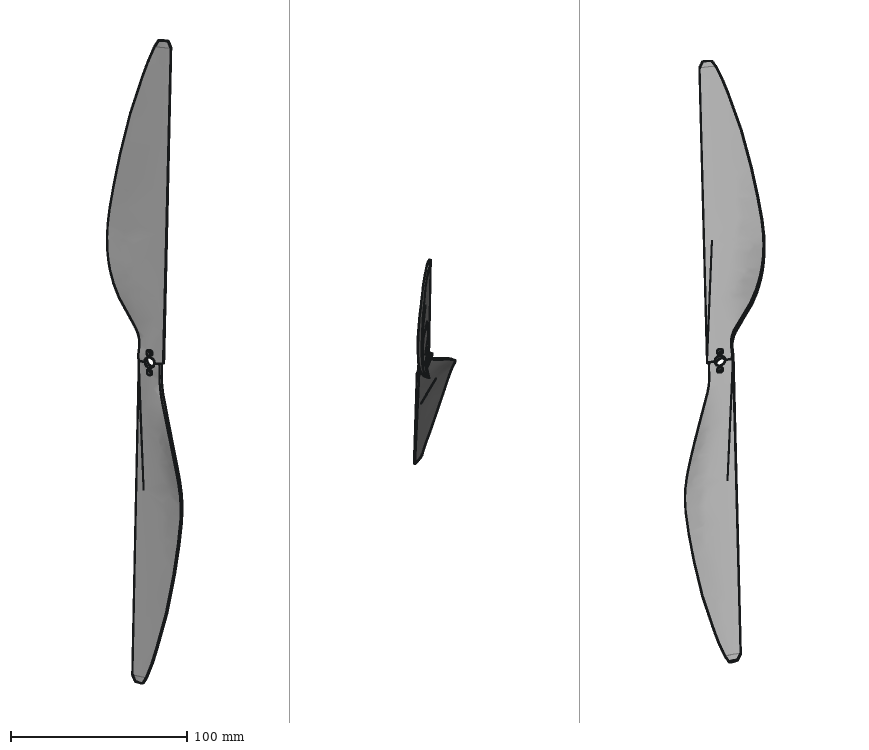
import cadquery as cq

half_span = 193.0
overall_width = 46.7
tip_start = 189.0

trailing_x_hub = 7.7
trailing_x_tip = 12.5
trailing_y = -0.5
trailing_thinning = 0.5

hub_thickness = 3.0
tip_thickness = 1.5
camber_ratio = 0.4
mid_thickening = 1.1

tip_leading_inset = 2.5
tip_trailing_inset = 2.0

shaft_hole_diameter = 6.0
pin_hole_diameter = 3.5
pin_hole_offset = 5.8

tip_station = (tip_start, 2.7, -2.7)
blade_stations = [
    (0.0, -6.5, -4.0),
    (7.7, -6.5, -4.0),
    (15.0, -7.0, -4.0),
    (27.0, -11.2, -7.5),
    (38.5, -16.0, -11.0),
    (56.0, -21.0, -12.7),
    (77.2, -overall_width / 2, -11.0),
    (102.5, -21.0, -8.5),
    (125.5, -16.5, -7.0),
    (148.5, -11.2, -5.5),
    (172.0, -4.0, -4.0),
    tip_station,
]


def along_span(hub_value, tip_value, z):
    """Linear change from the hub centre to the blade end."""
    return hub_value + (tip_value - hub_value) * z / half_span


def blade_section(z, leading_x, leading_y, trailing_inset=0.0):
    """Cambered section at height z, bounded by two arcs and two blunt edges."""
    thickness = along_span(hub_thickness, tip_thickness, z)
    trailing_x = along_span(trailing_x_hub, trailing_x_tip, z) - trailing_inset
    leading_top = leading_y + thickness
    trailing_bottom = trailing_y - trailing_thinning * thickness
    mid_x = (leading_x + trailing_x) / 2
    camber = camber_ratio * (trailing_y - leading_top)
    mid_top = (leading_top + trailing_y) / 2 + camber
    mid_bottom = mid_top - mid_thickening * thickness
    outline = (
        cq.Workplane("XY", origin=(0, 0, z))
        .moveTo(leading_x, leading_top)
        .threePointArc((mid_x, mid_top), (trailing_x, trailing_y))
        .lineTo(trailing_x, trailing_bottom)
        .threePointArc((mid_x, mid_bottom), (leading_x, leading_y))
        .close()
    )
    return outline.val()


def loft(sections, ruled=False):
    return cq.Workplane(cq.Solid.makeLoft(sections, ruled))


def upper_blade():
    """Swept blade from the hub centre and narrowed tip."""
    tip_leading_x, tip_leading_y = tip_station[1:]
    tip_section = blade_section(*tip_station)
    end_section = blade_section(
        half_span, tip_leading_x + tip_leading_inset, tip_leading_y, tip_trailing_inset
    )
    swept_blade = loft([blade_section(*station) for station in blade_stations])
    tip = loft([tip_section, end_section], ruled=True)
    return swept_blade.union(tip)


def hole(diameter, z):
    """Hole cutter along Y, longer than the hub is deep."""
    depth = 4 * hub_thickness
    return (
        cq.Workplane("XZ", origin=(0, depth / 2, z))
        .circle(diameter / 2)
        .extrude(depth)
    )


blade = upper_blade()
opposite_blade = blade.rotate((0, 0, 0), (0, 1, 0), 180)
result = blade.union(opposite_blade)
result = result.cut(hole(shaft_hole_diameter, 0))
for pin_z in (-pin_hole_offset, pin_hole_offset):
    result = result.cut(hole(pin_hole_diameter, pin_z))